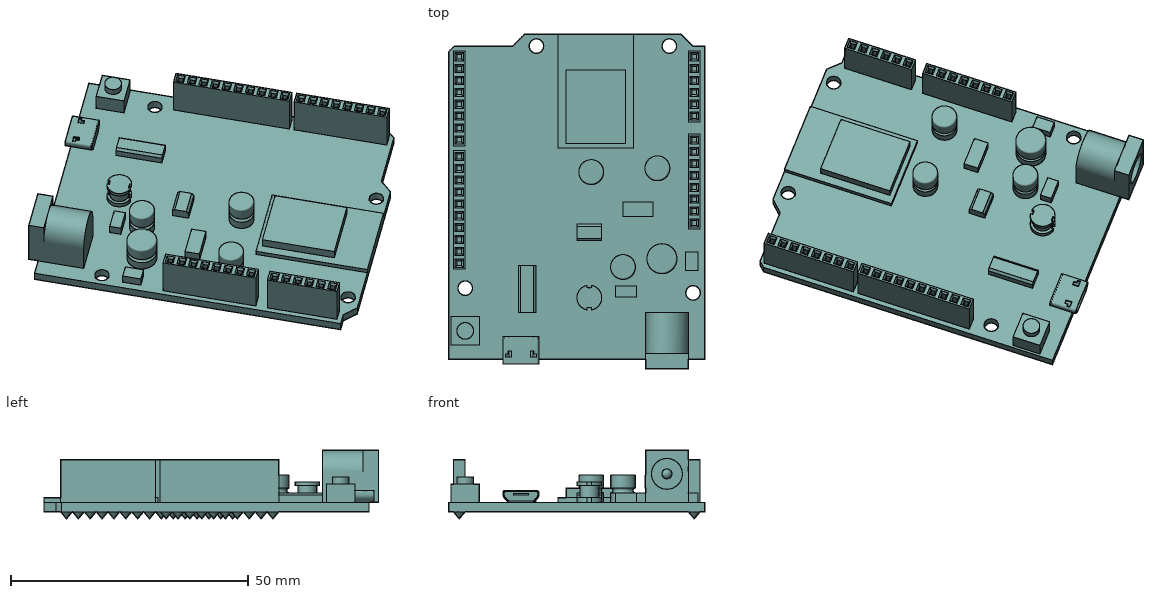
import cadquery as cq
import math


BOARD_WIDTH = 54.0
BOARD_LENGTH = 68.5
BOARD_TOP = 2.0
SHOULDER_Y = 66.0
SHOULDER_STEP = BOARD_LENGTH - SHOULDER_Y
TONGUE_LEFT = 16.0
TONGUE_RIGHT = 49.0
CORNER_CUT = 1.2
MOUNT_HOLE_DIAMETER = 3.0
MOUNT_HOLES = [(18.5, 66.0), (46.5, 66.0), (3.5, 15.0), (51.5, 14.0)]

PIN_PITCH = 2.5
HEADER_HEIGHT = 9.0
HEADER_MARGIN = 1.0
HEADER_LEFT_X = HEADER_MARGIN + PIN_PITCH / 2
HEADER_RIGHT_X = BOARD_WIDTH - HEADER_LEFT_X
HEADER_BACK_Y = 65.0
HEADERS = [
    (HEADER_LEFT_X, HEADER_BACK_Y, 8),
    (HEADER_LEFT_X, 44.0, 10),
    (HEADER_RIGHT_X, HEADER_BACK_Y, 6),
    (HEADER_RIGHT_X, 47.5, 8),
]
SOCKET_MOUTH = 1.7
SOCKET_BORE = 1.0
SOCKET_FUNNEL_DEPTH = 0.5
SOCKET_DEPTH = 6.0
SOLDER_CONE_DIAMETER = 2.48
SOLDER_CONE_HEIGHT = 1.5

MODULE_LEFT = 23.0
MODULE_FRONT = 44.5
MODULE_WIDTH = 16.0
MODULE_LENGTH = BOARD_LENGTH - MODULE_FRONT
MODULE_HEIGHT = 1.0
SHIELD_WIDTH = 12.5
SHIELD_LENGTH = 15.5
SHIELD_TOP = 3.0
SHIELD_FRONT_GAP = 1.0

CAP_HEIGHT = 5.8
CAP_TOP_FILLET = 0.3
CAP_GROOVE_RADIUS = 0.5
CAP_GROOVE_Z = 2.5
SMALL_CAP_DIAMETER = 5.24
LARGE_CAP_DIAMETER = 6.32
CAPACITORS = [
    (30.05, 39.45, SMALL_CAP_DIAMETER),
    (44.0, 40.25, SMALL_CAP_DIAMETER),
    (36.75, 19.45, SMALL_CAP_DIAMETER),
    (44.95, 21.2, LARGE_CAP_DIAMETER),
]

COIL_X = 29.65
COIL_Y = 13.0
COIL_DIAMETER = SMALL_CAP_DIAMETER
COIL_CORE_DIAMETER = 4.0
COIL_BASE_HEIGHT = 1.0
COIL_FLANGE_BOTTOM = 3.5
COIL_HEIGHT = 4.3
COIL_NOTCH_WIDTH = 1.0
COIL_NOTCH_DEPTH = 0.5

CHIP_HEIGHT = 2.0
CHIP_BEVEL = 0.5
CHIPS = [
    (36.7, 30.1, 6.4, 3.1, None),
    (49.9, 18.7, 2.6, 3.9, None),
    (35.2, 13.1, 4.4, 2.4, None),
    (27.0, 25.0, 5.2, 3.5, "X"),
    (14.7, 9.85, 3.7, 9.9, "Y"),
]

BUTTON_X = 3.5
BUTTON_Y = 6.0
BUTTON_SIZE = 6.0
BUTTON_HEIGHT = 3.85
KNOB_DIAMETER = 3.5
KNOB_TOP = 5.35

USB_X = 15.25
USB_FRONT = -1.0
USB_BACK = 4.8
USB_WIDTH = 7.6
USB_FOOT_WIDTH = 5.2
USB_FLARE_HEIGHT = 1.1
USB_HEIGHT = 2.5
USB_CORNER_RADIUS = 0.5
USB_FLARE_RADIUS = 1.25
USB_WALL = 0.25
USB_TONGUE_WIDTH = 3.2
USB_TONGUE_BOTTOM = 1.5
USB_TONGUE_THICKNESS = 0.4
LATCH_FRONT = 1.5
LATCH_LENGTH = 1.25
LATCH_INNER_X = 2.0
LATCH_WIDTH = 0.75
LATCH_ARM_WIDTH = 0.5
LATCH_ARM_LENGTH = 0.6

JACK_X = 46.0
JACK_FRONT = -2.0
JACK_BACK = 9.85
JACK_WIDTH = 9.0
JACK_HEIGHT = 11.0
JACK_FLANGE_BACK = 1.25
JACK_BORE_DIAMETER = 6.5
JACK_BORE_Z = 6.0
JACK_BORE_DEPTH = 10.0
JACK_PIN_DIAMETER = 2.1
JACK_PIN_LENGTH = 8.0


def block(left, front, bottom, width, length, height):
    """Box placed by its lower front left corner."""
    return cq.Workplane("XY").box(width, length, height, centered=False).translate((left, front, bottom))


def disc(x, y, bottom, diameter, height):
    """Upright cylinder standing at the given height."""
    return cq.Workplane("XY").circle(diameter / 2).extrude(height).translate((x, y, bottom))


def facing_front(front):
    """Upright work plane at the given Y, facing -Y: negative extrusions run backwards (+Y)."""
    return cq.Workplane(cq.Plane(origin=(0, front, BOARD_TOP), xDir=(1, 0, 0), normal=(0, -1, 0)))


def make_board():
    outline = [
        (0, 0),
        (BOARD_WIDTH, 0),
        (BOARD_WIDTH, SHOULDER_Y),
        (TONGUE_RIGHT + SHOULDER_STEP, SHOULDER_Y),
        (TONGUE_RIGHT, BOARD_LENGTH),
        (TONGUE_LEFT, BOARD_LENGTH),
        (TONGUE_LEFT - SHOULDER_STEP, SHOULDER_Y),
        (CORNER_CUT, SHOULDER_Y),
        (0, SHOULDER_Y - CORNER_CUT),
    ]
    holes = cq.Workplane("XY").pushPoints(MOUNT_HOLES).circle(MOUNT_HOLE_DIAMETER / 2).extrude(BOARD_TOP)
    return cq.Workplane("XY").polyline(outline).close().extrude(BOARD_TOP).cut(holes)


def make_socket():
    """Square pin socket: a funnel above a straight bore, with its mouth at Z = 0."""
    funnel = (
        cq.Workplane("XY")
        .rect(SOCKET_MOUTH, SOCKET_MOUTH)
        .workplane(offset=-SOCKET_FUNNEL_DEPTH)
        .rect(SOCKET_BORE, SOCKET_BORE)
        .loft(ruled=True)
    )
    bore = cq.Workplane("XY").rect(SOCKET_BORE, SOCKET_BORE).extrude(-SOCKET_DEPTH)
    return funnel.union(bore)


def make_header(x, back, pins):
    """Row of sockets along Y, with a solder cone under the board below each one."""
    length = pins * PIN_PITCH
    header = block(x - PIN_PITCH / 2, back - length, BOARD_TOP, PIN_PITCH, length, HEADER_HEIGHT)
    pin_places = [(x, back - (i + 0.5) * PIN_PITCH) for i in range(pins)]
    socket = make_socket().val()
    mouth_z = BOARD_TOP + HEADER_HEIGHT
    for pin_x, pin_y in pin_places:
        header = header.cut(cq.Workplane(socket.translate(cq.Vector(pin_x, pin_y, mouth_z))))
    cones = [
        cq.Solid.makeCone(
            SOLDER_CONE_DIAMETER / 2, 0, SOLDER_CONE_HEIGHT, cq.Vector(pin_x, pin_y, 0), cq.Vector(0, 0, -1)
        )
        for pin_x, pin_y in pin_places
    ]
    return [header.val()] + cones


def make_module():
    base = block(MODULE_LEFT, MODULE_FRONT, BOARD_TOP, MODULE_WIDTH, MODULE_LENGTH, MODULE_HEIGHT)
    shield_left = MODULE_LEFT + (MODULE_WIDTH - SHIELD_WIDTH) / 2
    shield_front = MODULE_FRONT + SHIELD_FRONT_GAP
    return base.union(block(shield_left, shield_front, BOARD_TOP, SHIELD_WIDTH, SHIELD_LENGTH, SHIELD_TOP))


def make_capacitor(x, y, diameter):
    """Can with a rounded top edge and a half-round groove around it."""
    radius = diameter / 2
    can = (
        cq.Workplane("XZ")
        .lineTo(radius, 0)
        .lineTo(radius, CAP_GROOVE_Z - CAP_GROOVE_RADIUS)
        .threePointArc((radius - CAP_GROOVE_RADIUS, CAP_GROOVE_Z), (radius, CAP_GROOVE_Z + CAP_GROOVE_RADIUS))
        .lineTo(radius, CAP_HEIGHT)
        .lineTo(0, CAP_HEIGHT)
        .close()
        .revolve(360, (0, 0), (0, 1))
    )
    return can.faces(">Z").edges().fillet(CAP_TOP_FILLET).translate((x, y, BOARD_TOP))


def make_coil():
    """Spool whose two flanges are notched at front and back."""
    flange_height = COIL_HEIGHT - COIL_FLANGE_BOTTOM
    flanges = disc(0, 0, 0, COIL_DIAMETER, COIL_BASE_HEIGHT)
    flanges = flanges.union(disc(0, 0, COIL_FLANGE_BOTTOM, COIL_DIAMETER, flange_height))
    notch_front = -COIL_DIAMETER / 2
    notch = block(-COIL_NOTCH_WIDTH / 2, notch_front, 0, COIL_NOTCH_WIDTH, COIL_NOTCH_DEPTH, COIL_HEIGHT)
    core = disc(0, 0, 0, COIL_CORE_DIAMETER, COIL_HEIGHT)
    return flanges.cut(notch).cut(notch.mirror("XZ")).union(core).translate((COIL_X, COIL_Y, BOARD_TOP))


def make_chip(left, front, width, length, bevel_direction):
    chip = block(left, front, BOARD_TOP, width, length, CHIP_HEIGHT)
    if bevel_direction:
        chip = chip.faces(">Z").edges("|" + bevel_direction).chamfer(CHIP_BEVEL)
    return chip


def make_button():
    left = BUTTON_X - BUTTON_SIZE / 2
    front = BUTTON_Y - BUTTON_SIZE / 2
    body = block(left, front, BOARD_TOP, BUTTON_SIZE, BUTTON_SIZE, BUTTON_HEIGHT)
    return body.union(disc(BUTTON_X, BUTTON_Y, BOARD_TOP, KNOB_DIAMETER, KNOB_TOP))


def make_usb_socket():
    """Flared metal shell, open at the front, with a contact tongue and two L-shaped latch openings."""
    length = USB_BACK - USB_FRONT
    half_width = USB_WIDTH / 2
    half_foot = USB_FOOT_WIDTH / 2
    profile = [
        (-half_foot, 0),
        (half_foot, 0),
        (half_width, USB_FLARE_HEIGHT),
        (half_width, USB_HEIGHT),
        (-half_width, USB_HEIGHT),
        (-half_width, USB_FLARE_HEIGHT),
    ]
    shell = facing_front(USB_FRONT).polyline(profile).close().extrude(-length)
    shell = shell.edges("|Y").edges(">>Z[1]").fillet(USB_FLARE_RADIUS)
    shell = shell.faces(">Z").edges("|Y").fillet(USB_CORNER_RADIUS)
    cavity = shell.faces("<Y").wires().toPending().workplane().offset2D(-USB_WALL)
    cavity = cavity.extrude(USB_WALL - length, combine=False)
    shell = shell.cut(cavity)

    tongue_bottom = BOARD_TOP + USB_TONGUE_BOTTOM
    tongue = block(
        -USB_TONGUE_WIDTH / 2, USB_FRONT + USB_WALL, tongue_bottom,
        USB_TONGUE_WIDTH, length - USB_WALL, USB_TONGUE_THICKNESS,
    )
    roof = BOARD_TOP + USB_HEIGHT - USB_WALL
    latch_front = USB_FRONT + LATCH_FRONT
    latch = block(LATCH_INNER_X, latch_front, roof, LATCH_WIDTH, LATCH_LENGTH, USB_WALL)
    arm_x = LATCH_INNER_X + LATCH_WIDTH
    latch = latch.union(block(arm_x, latch_front, roof, LATCH_ARM_WIDTH, LATCH_ARM_LENGTH, USB_WALL))
    shell = shell.cut(latch).cut(latch.mirror("YZ"))
    return shell.union(tongue).translate((USB_X, 0, 0))


def make_jack():
    """Round-backed power jack with a square front flange, a blind bore and a round-tipped pin."""
    half_width = JACK_WIDTH / 2
    arch_z = JACK_HEIGHT - half_width
    barrel = (
        facing_front(JACK_FRONT)
        .moveTo(JACK_X - half_width, 0)
        .lineTo(JACK_X + half_width, 0)
        .lineTo(JACK_X + half_width, arch_z)
        .threePointArc((JACK_X, JACK_HEIGHT), (JACK_X - half_width, arch_z))
        .close()
        .extrude(JACK_FRONT - JACK_BACK)
    )
    flange_length = JACK_FLANGE_BACK - JACK_FRONT
    flange = block(JACK_X - half_width, JACK_FRONT, BOARD_TOP, JACK_WIDTH, flange_length, JACK_HEIGHT)
    bore_axis = facing_front(JACK_FRONT).center(JACK_X, JACK_BORE_Z)
    bore = bore_axis.circle(JACK_BORE_DIAMETER / 2).extrude(-JACK_BORE_DEPTH)

    bore_end = JACK_FRONT + JACK_BORE_DEPTH
    pin_radius = JACK_PIN_DIAMETER / 2
    tip_reach = pin_radius * math.sqrt(0.5)
    pin = (
        cq.Workplane("XY")
        .lineTo(pin_radius, 0)
        .lineTo(pin_radius, pin_radius - JACK_PIN_LENGTH)
        .threePointArc((tip_reach, pin_radius - JACK_PIN_LENGTH - tip_reach), (0, -JACK_PIN_LENGTH))
        .close()
        .revolve(360, (0, 0), (0, 1))
        .translate((JACK_X, bore_end, BOARD_TOP + JACK_BORE_Z))
    )
    return barrel.union(flange).cut(bore).union(pin)


parts = [make_module(), make_coil(), make_button(), make_usb_socket(), make_jack()]
parts += [make_capacitor(*place) for place in CAPACITORS]
parts += [make_chip(*place) for place in CHIPS]
solids = [part.val() for part in parts]
for header_place in HEADERS:
    solids += make_header(*header_place)

result = cq.Workplane(make_board().val().fuse(*solids).Solids()[0])